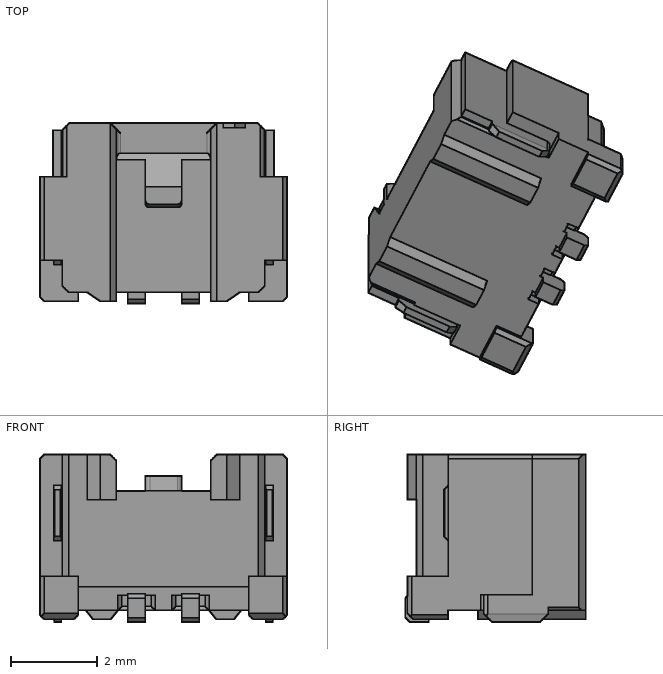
import cadquery as cq


housing_half = 2.35
back_y = 2.1
front_y = -1.84
bottom_z = 0.27
top_z = 3.9
front_corner = 0.15
back_corner = 0.165
top_bevel = 0.105
bottom_bevel = 0.07
skirt_top_z = 0.815
skirt_setback = 0.105
skirt_y = front_y + skirt_setback

wing_half = 2.875
wing_back_y = 0.85
wing_front_y = -1.1
wing_relief_z = 0.64
wing_relief_y = -0.34

channel_half = 1.09
floor_z = 3.05
channel_bevel = 0.15
ramp_top_y = 1.235
ramp_bottom_y = 1.4
tongue_half = 0.425
tongue_z = 3.4
tongue_back_y = 0.61
tongue_front_y = 0.13
tongue_lean = 0.075
tongue_corner = 0.105
ramp_slope = (tongue_z - floor_z) / (ramp_top_y - tongue_back_y)
ledge_z = floor_z - ramp_slope * (ramp_bottom_y - ramp_top_y)
ledge_fillet = 0.09

notch_start = 1.39
notch_flat_end = 1.65
notch_end = 1.905
notch_length = 0.11
notch_depth = 0.92

lug_front_y = -2.045
lug_bottom_z = 2.845
lug_outer_x = 1.775
lug_tip_x = 1.47
foot_inner_x = 1.98
foot_bottom_z = 0.065
foot_top_z = 1.07
foot_side_bevel = 0.105
foot_front_bevel = 0.14
pad_inner_x = 1.06
pad_outer_x = 1.805
pad_front_y = -0.41
pad_bevel = 0.165

blade_inner_x = 2.375
blade_outer_x = 2.57
blade_back_y = 1.93
blade_top_z = 3.795
blade_bottom_z = 0.34
blade_foot_back_y = 1.23
blade_foot_front_y = -0.275
blade_foot_bevel = 0.195
blade_edge_thinning = 0.035
blade_front_bevel = 0.09
blade_tab_bottom_z = 1.89
blade_tab_top_z = 3.175
blade_tab_outer_x = 2.555
blade_tab_edge_bevel = 0.025
blade_tab_reach = 0.105

pin_x = 0.625
pin_width = 0.415
pin_front_y = -2.1
pin_back_y = -1.545
pin_root_y = -1.265
pin_top_z = 0.66
pin_bevel = 0.105
pocket_width = 0.86
pocket_top_z = 0.62
pocket_depth = 0.26
pocket_slope = 0.09


def box(x0, x1, y0, y1, z0, z1):
    return cq.Workplane("XY").box(x1 - x0, y1 - y0, z1 - z0, centered=False).translate((x0, y0, z0))


def along_x(points, x0, x1):
    """Extrude a (y, z) outline from x0 to x1."""
    return cq.Workplane("YZ").polyline(points).close().extrude(x1 - x0).translate((x0, 0, 0))


def along_y(points, y0, y1):
    """Extrude an (x, z) outline from y0 to y1."""
    return cq.Workplane("XZ").polyline(points).close().extrude(y0 - y1).translate((0, y0, 0))


def along_z(points, z0, z1):
    """Extrude an (x, y) outline from z0 to z1."""
    return cq.Workplane("XY").polyline(points).close().extrude(z1 - z0).translate((0, 0, z0))


def both_sides(body):
    return body.union(body.mirror("YZ"))


def housing():
    body = box(-housing_half, housing_half, front_y, back_y, bottom_z, top_z)
    body = body.edges("|Z and <Y").chamfer(front_corner)
    body = body.edges("|Z and >Y").chamfer(back_corner)
    return body


def side_bevels():
    x = housing_half
    top = along_y([(x, top_z), (x - top_bevel, top_z), (x, top_z - top_bevel)], wing_back_y, back_y)
    bottom = along_y(
        [(x, bottom_z), (x - bottom_bevel, bottom_z), (x, bottom_z + bottom_bevel)], wing_relief_y, back_y
    )
    return both_sides(top.union(bottom))


def wing():
    slab = box(0, wing_half, wing_front_y, wing_back_y, bottom_z, top_z)
    slab = slab.edges(">X and >Z").chamfer(top_bevel)
    relief = box(housing_half, wing_half, wing_relief_y, wing_back_y, bottom_z, wing_relief_z)
    return slab.cut(relief)


def lug():
    return along_z(
        [
            (channel_half, front_y),
            (lug_outer_x, front_y),
            (lug_tip_x, lug_front_y),
            (channel_half, lug_front_y),
        ],
        lug_bottom_z,
        top_z,
    )


def foot():
    body = box(foot_inner_x, wing_half, lug_front_y, wing_front_y, foot_bottom_z, foot_top_z)
    body = body.edges("|Z and >X and <Y").chamfer(foot_side_bevel)
    body = body.edges("<Z and (>X or <X)").chamfer(foot_side_bevel)
    front_wedge = along_x(
        [
            (lug_front_y, foot_bottom_z),
            (lug_front_y + foot_front_bevel, foot_bottom_z),
            (lug_front_y, foot_bottom_z + foot_front_bevel),
        ],
        foot_inner_x,
        wing_half,
    )
    return body.cut(front_wedge)


def pad():
    return along_y(
        [
            (pad_inner_x, bottom_z),
            (pad_inner_x + pad_bevel, foot_bottom_z),
            (pad_outer_x - pad_bevel, foot_bottom_z),
            (pad_outer_x, bottom_z),
        ],
        pad_front_y,
        back_y,
    )


def channel():
    """Space removed above the floor, the ramp and the back ledge."""
    outline = [
        (lug_front_y, floor_z),
        (ramp_top_y, floor_z),
        (ramp_bottom_y, ledge_z),
        (back_y, ledge_z),
        (back_y, top_z),
        (lug_front_y, top_z),
    ]
    slot = along_x(outline, -channel_half, channel_half)
    slot = slot.edges("|Y and <Z").fillet(ledge_fillet)
    mouth = along_y(
        [
            (-channel_half, top_z - channel_bevel),
            (channel_half, top_z - channel_bevel),
            (channel_half + channel_bevel, top_z),
            (-channel_half - channel_bevel, top_z),
        ],
        lug_front_y,
        back_y,
    )
    flare_half = channel_half + channel_bevel
    flare = along_z(
        [(-flare_half, back_y), (flare_half, back_y), (0, back_y - flare_half)],
        ledge_z,
        top_z,
    ).intersect(box(-flare_half, flare_half, ramp_bottom_y, back_y, ledge_z, top_z))
    return slot.union(mouth).union(flare)


def tongue():
    """Catch rising from the ramp, with a leaning, rounded front."""
    body = along_x(
        [
            (ramp_top_y, floor_z),
            (tongue_back_y, tongue_z),
            (tongue_front_y + tongue_lean, tongue_z),
            (tongue_front_y, floor_z),
        ],
        -tongue_half,
        tongue_half,
    )
    return body.faces("<Y").edges("not |X").fillet(tongue_corner)


def key_notch():
    return along_y(
        [
            (notch_start, top_z),
            (notch_start, top_z - notch_depth),
            (notch_flat_end, top_z - notch_depth),
            (notch_end, top_z),
        ],
        back_y - notch_length,
        back_y,
    )


def blade():
    """Upright solder blade beside the housing, with a foot below and a tab in front."""
    plate = along_x(
        [
            (blade_back_y, blade_top_z),
            (blade_back_y, blade_bottom_z),
            (blade_foot_back_y, blade_bottom_z),
            (blade_foot_back_y, blade_foot_bevel),
            (blade_foot_back_y - blade_foot_bevel, 0),
            (blade_foot_front_y + blade_foot_bevel, 0),
            (blade_foot_front_y, blade_foot_bevel),
            (blade_foot_front_y, blade_top_z),
        ],
        blade_inner_x,
        blade_outer_x,
    )
    tab = along_x(
        [
            (blade_foot_front_y, blade_tab_bottom_z),
            (wing_front_y, blade_tab_bottom_z),
            (wing_front_y - blade_tab_reach, blade_tab_bottom_z + blade_tab_reach),
            (wing_front_y - blade_tab_reach, blade_tab_top_z - blade_tab_reach),
            (wing_front_y, blade_tab_top_z),
            (blade_foot_front_y, blade_tab_top_z),
        ],
        blade_inner_x,
        blade_tab_outer_x,
    )
    tab = tab.faces("<Y").edges("|Z").chamfer(blade_tab_edge_bevel)
    thin_x = blade_outer_x - blade_edge_thinning
    bottom_wedge = along_y(
        [(blade_outer_x, blade_foot_bevel), (blade_outer_x, 0), (thin_x, 0)],
        blade_foot_front_y,
        blade_foot_back_y,
    )
    front_wedge = along_z(
        [
            (blade_outer_x, blade_foot_front_y + blade_front_bevel),
            (blade_outer_x, blade_foot_front_y),
            (thin_x, blade_foot_front_y),
        ],
        0,
        wing_relief_z,
    )
    return plate.cut(bottom_wedge).cut(front_wedge).union(tab)


def pin():
    body = box(-pin_width / 2, pin_width / 2, pin_front_y, pin_back_y, 0, pin_top_z)
    body = body.edges("<Y and |X").chamfer(pin_bevel)
    root = box(-pin_width / 2, pin_width / 2, pin_back_y, pin_root_y, bottom_z, pin_top_z)
    return body.union(root)


def contact_pocket():
    """Pocket around a contact, open below, with a tapering inner end."""
    height = pocket_top_z - bottom_z
    end_y = skirt_y + pocket_depth
    straight = box(-pocket_width / 2, pocket_width / 2, skirt_y, end_y, bottom_z, pocket_top_z)
    taper = (
        cq.Workplane("XZ", origin=(0, end_y, bottom_z + height / 2))
        .rect(pocket_width, height)
        .workplane(offset=-pocket_slope)
        .center(0, pocket_slope / 2)
        .rect(pocket_width - 2 * pocket_slope, height - pocket_slope)
        .loft(ruled=True)
    )
    return straight.union(taper)


result = housing().cut(side_bevels()).union(both_sides(wing())).union(both_sides(lug()))
result = result.cut(box(-foot_inner_x, foot_inner_x, front_y, skirt_y, bottom_z, skirt_top_z))
result = result.cut(channel()).union(tongue()).cut(key_notch())
result = result.union(both_sides(foot())).union(both_sides(pad())).union(both_sides(blade()))
for x in (-pin_x, pin_x):
    result = result.cut(contact_pocket().translate((x, 0, 0)))
    result = result.union(pin().translate((x, 0, 0)))